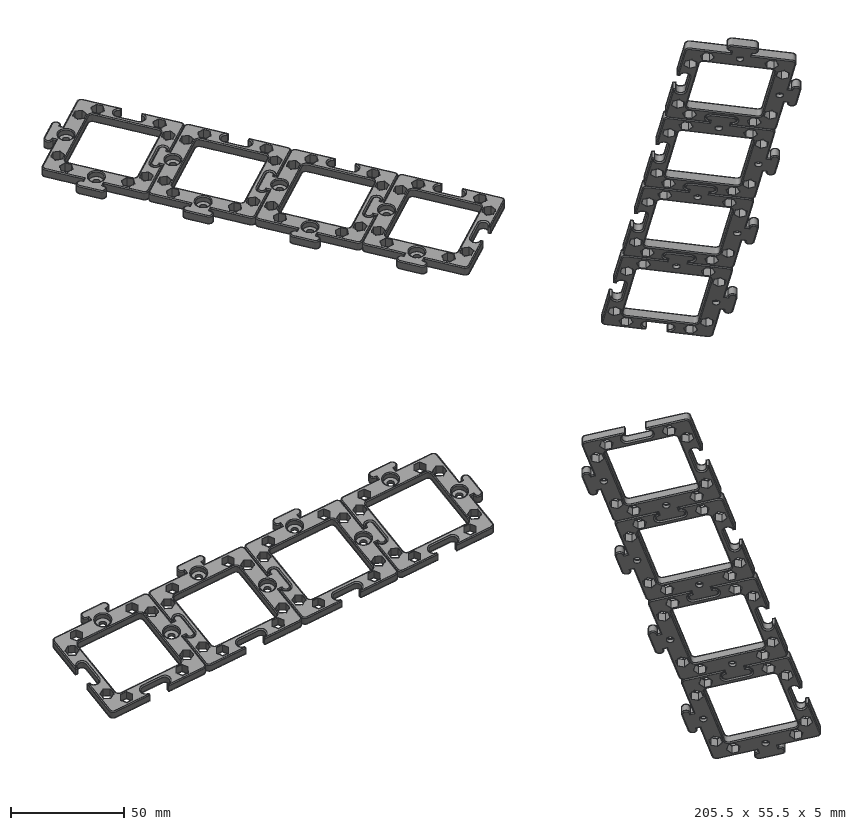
import cadquery as cq
import math

frame_count = 4
row_length = 205.5
thickness = 5.0

frame_side = 50.0
corner_radius = 2.0
window_side = 34.0
window_corner_radius = 1.9
edge_chamfer = 0.5

tab_reach = 5.5
head_length = 14.0
head_width = 4.1
neck_width = 9.5
neck_root = 1.5
neck_tip = 3.0
joint_clearance = 0.1
socket_chamfer = 0.6

screw_diameter = 3.3
counterbore_diameter = 7.0
counterbore_depth = 3.0
counterbore_chamfer = 0.5
screw_offset = 22.0

nut_across_flats = 5.3
nut_offset = 20.8
nut_spacing = 29.0
hexagon_sides = 6

half_side = frame_side / 2
pitch = (row_length - frame_side - tab_reach) / (frame_count - 1)
nut_across_corners = nut_across_flats / math.cos(math.pi / hexagon_sides)

joint_angles = (0, 90)
side_angles = (0, 90, 180, 270)


def turned(shape, angle):
    """Turn a shape about the frame's centre."""
    return shape.rotate((0, 0, 0), (0, 0, 1), angle)


def square_plate(side, radius):
    return cq.Workplane("XY").rect(side, side).extrude(thickness).edges("|Z").fillet(radius)


def joint_shape(growth, height=thickness, taper=0):
    """Tab pointing to -X from the frame's side at X = 0, enlarged all round by growth."""
    head = (
        cq.Workplane("XY")
        .center(-tab_reach + head_width / 2, 0)
        .slot2D(head_length + 2 * growth, head_width + 2 * growth, 90)
        .extrude(height, taper=taper)
    )
    neck = (
        cq.Workplane("XY")
        .center((neck_root - neck_tip) / 2, 0)
        .rect(neck_root + neck_tip, neck_width + 2 * growth)
        .extrude(height, taper=taper)
    )
    return head.union(neck)


def tab():
    """Tab on the frame's -X side."""
    return joint_shape(0).translate((-half_side, 0, 0))


def socket_cutter():
    """Space on the +X side for the next frame's tab, flaring at the top and bottom faces."""
    opening = joint_shape(joint_clearance)
    bottom_flare = joint_shape(joint_clearance + socket_chamfer, socket_chamfer, taper=45)
    top_flare = bottom_flare.mirror("XY").translate((0, 0, thickness))
    return opening.union(bottom_flare).union(top_flare).translate((pitch - half_side, 0, 0))


def screw_cutter():
    """Screw hole on the -X side with a counterbore whose rim is chamfered."""
    bore_radius = counterbore_diameter / 2
    bore_floor = thickness - counterbore_depth
    rim_start = thickness - counterbore_chamfer
    shank = cq.Workplane("XY").circle(screw_diameter / 2).extrude(thickness)
    bore = cq.Workplane("XY", origin=(0, 0, bore_floor)).circle(bore_radius).extrude(counterbore_depth)
    rim = (
        cq.Workplane("XY", origin=(0, 0, rim_start))
        .circle(bore_radius)
        .workplane(offset=counterbore_chamfer)
        .circle(bore_radius + counterbore_chamfer)
        .loft()
    )
    return shank.union(bore).union(rim).translate((-screw_offset, 0, 0))


def nut_cutter():
    """Two hexagons on the +Y side, with corners pointing along that side."""
    half_spacing = nut_spacing / 2
    return (
        cq.Workplane("XY")
        .pushPoints([(-half_spacing, nut_offset), (half_spacing, nut_offset)])
        .polygon(hexagon_sides, nut_across_corners)
        .extrude(thickness)
    )


def make_frame():
    body = square_plate(frame_side, corner_radius)
    for angle in joint_angles:
        body = body.union(turned(tab(), angle))
    body = body.cut(square_plate(window_side, window_corner_radius))
    body = body.faces("<Z or >Z").chamfer(edge_chamfer)
    for angle in joint_angles:
        body = body.cut(turned(screw_cutter(), angle))
        body = body.cut(turned(socket_cutter(), angle))
    for angle in side_angles:
        body = body.cut(turned(nut_cutter(), angle))
    return body


frame = make_frame()
frames = []
for index in range(frame_count):
    frames.append(frame.translate((index * pitch, 0, 0)).solids().val())

result = cq.Compound.makeCompound(frames)